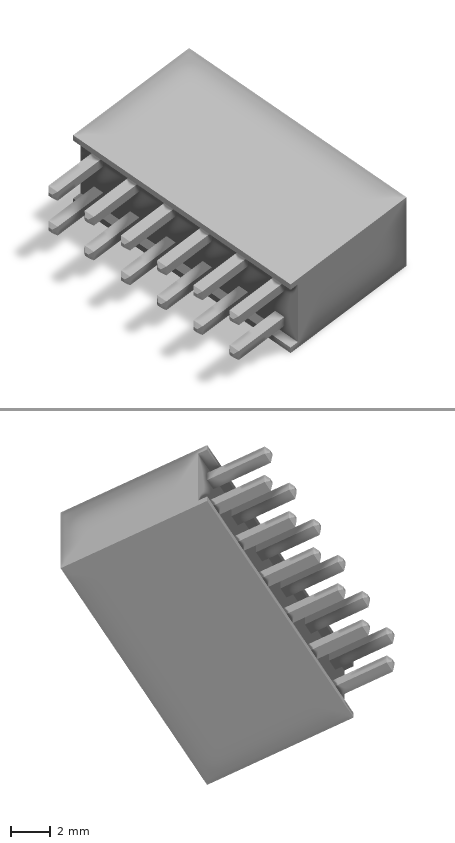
import cadquery as cq

total_width = 15.24
segment_count = 6
pitch = total_width / segment_count

height = 5.0
total_depth = 11.5
housing_depth = 8.5
lip_length = 0.53
lip_thickness = 0.4

pin_side = 0.64
tip_chamfer = 0.2

pin_face_y = lip_length - housing_depth
pin_length = total_depth - housing_depth + lip_length


def make_housing():
    """Block with a lip along the top and bottom edges of the pin face."""
    block = cq.Workplane("XY").box(pitch, housing_depth, height).translate((0, -housing_depth / 2, 0))
    recess_height = height - 2 * lip_thickness
    recess = cq.Workplane("XY").box(pitch, lip_length, recess_height)
    return block.cut(recess.translate((0, pin_face_y - lip_length / 2, 0)))


def make_pin(z):
    """Square pin at height z, starting on the pin face, with a chamfered tip."""
    pin = cq.Workplane("XY").box(pin_side, pin_length, pin_side).faces("<Y").chamfer(tip_chamfer)
    return pin.translate((0, pin_face_y - pin_length / 2, z))


def make_segment(x):
    """One housing with its two pins, as a single solid centred at x."""
    segment = make_housing()
    for z in (-pitch / 2, pitch / 2):
        segment = segment.union(make_pin(z))
    return segment.solids().translate((x, 0, 0))


segments = []
for index in range(segment_count):
    segment_x = (index + 0.5) * pitch - total_width / 2
    segments.append(make_segment(segment_x))

result = cq.Compound.makeCompound([segment.val() for segment in segments])